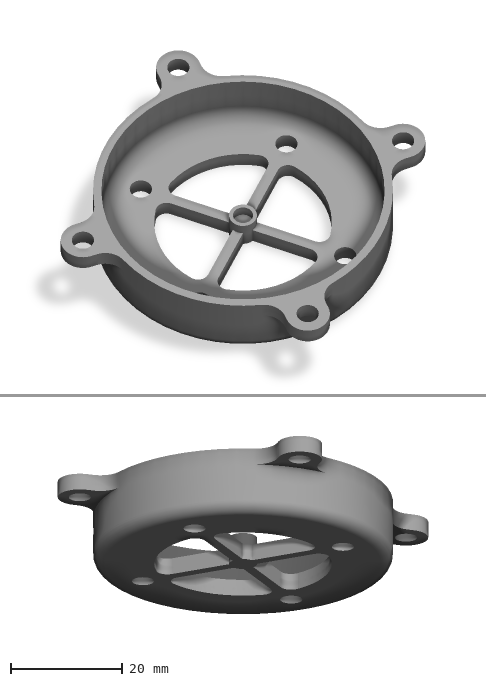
import cadquery as cq
import math

outer_radius = 27.0
height = 12.0
inner_radius = 25.5
floor_thickness = 3.0
bottom_round = 2.0
inner_round = 2.0

ear_thickness = 3.0
ear_radius = 4.0
ear_offset = 22.0
ear_blend = 4.0
screw_diameter = 4.0

floor_hole_offset = 20.0
window_radius = 16.0
window_corner_radius = 2.0
spoke_width = 2.0

hub_diameter = 5.0
hub_height = 5.0
hub_bore_diameter = 3.6
hub_bore_depth = 2.0


def make_cup():
    body = cq.Workplane("XY").circle(outer_radius).extrude(height)
    body = body.faces("<Z").edges().fillet(bottom_round)
    cavity = (
        cq.Workplane("XY")
        .workplane(offset=floor_thickness)
        .circle(inner_radius)
        .extrude(height - floor_thickness)
    )
    return body.cut(cavity.faces("<Z").edges().fillet(inner_round))


def make_ear():
    """Ear along +X, with a rounded tip and a neck that flares into the cup wall."""
    tip_center = ear_offset * math.sqrt(2)
    blend_y = ear_radius + ear_blend
    blend_x = math.sqrt((outer_radius + ear_blend) ** 2 - blend_y**2)
    touch_ratio = outer_radius / (outer_radius + ear_blend)
    touch_x = blend_x * touch_ratio
    touch_y = blend_y * touch_ratio
    root_x = math.sqrt(inner_radius**2 - touch_y**2)
    return (
        cq.Workplane("XY")
        .workplane(offset=height - ear_thickness)
        .moveTo(root_x, -touch_y)
        .lineTo(touch_x, -touch_y)
        .radiusArc((blend_x, -ear_radius), ear_blend)
        .lineTo(tip_center, -ear_radius)
        .threePointArc((tip_center + ear_radius, 0), (tip_center, ear_radius))
        .lineTo(blend_x, ear_radius)
        .radiusArc((touch_x, touch_y), ear_blend)
        .lineTo(root_x, touch_y)
        .threePointArc((inner_radius, 0), (root_x, -touch_y))
        .close()
        .extrude(ear_thickness)
    )


def make_windows():
    """Four quarter-round openings, separated by the spokes."""
    disc = cq.Workplane("XY").circle(window_radius).extrude(floor_thickness)
    spoke_length = 2 * window_radius
    for length_x, length_y in ((spoke_length, spoke_width), (spoke_width, spoke_length)):
        spoke = cq.Workplane("XY").rect(length_x, length_y)
        disc = disc.cut(spoke.extrude(floor_thickness))
    near_hub = cq.selectors.BoxSelector(
        (-hub_diameter, -hub_diameter, -height), (hub_diameter, hub_diameter, height)
    )
    corners = cq.selectors.SubtractSelector(cq.selectors.ParallelDirSelector(cq.Vector(0, 0, 1)), near_hub)
    return disc.edges(corners).fillet(window_corner_radius)


part = make_cup()
ear = make_ear()
for angle in (45, 135, 225, 315):
    part = part.union(ear.rotate((0, 0, 0), (0, 0, 1), angle))

part = part.cut(make_windows())
part = part.union(cq.Workplane("XY").circle(hub_diameter / 2).extrude(hub_height))
hub_bore = (
    cq.Workplane("XY")
    .workplane(offset=hub_height - hub_bore_depth)
    .circle(hub_bore_diameter / 2)
    .extrude(hub_bore_depth)
)
part = part.cut(hub_bore)

ear_holes = (
    cq.Workplane("XY")
    .rect(2 * ear_offset, 2 * ear_offset, forConstruction=True)
    .vertices()
    .circle(screw_diameter / 2)
    .extrude(height)
)
floor_holes = (
    cq.Workplane("XY")
    .polarArray(floor_hole_offset, 0, 360, 4)
    .circle(screw_diameter / 2)
    .extrude(floor_thickness)
)
result = part.cut(ear_holes).cut(floor_holes)